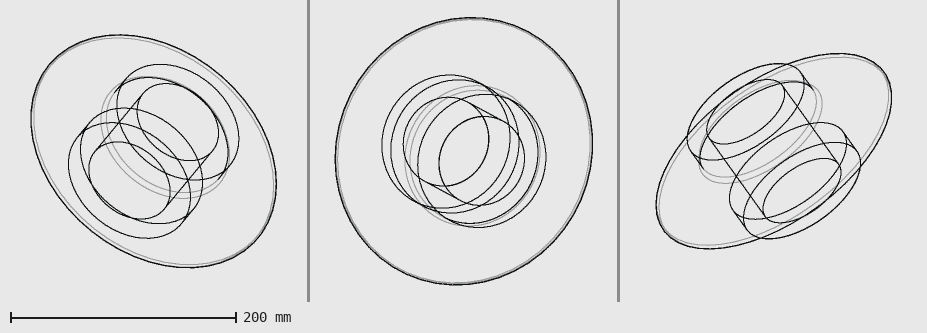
import cadquery as cq
import math

rim_diameter = 241.0
hub_diameter = 120.0
bore_diameter = 80.0
hub_length = 100.0
disc_root_thickness = 50.1
rim_round_radius = 2.5
root_fillet_radius = 5.0

rim_radius = rim_diameter / 2
hub_radius = hub_diameter / 2
bore_radius = bore_diameter / 2
half_length = hub_length / 2
root_half = disc_root_thickness / 2

round_center = rim_radius - rim_round_radius
center_run = round_center - hub_radius
flank_angle = math.atan2(root_half, center_run) - math.asin(
    rim_round_radius / math.hypot(center_run, root_half)
)
tangent_radius = round_center + rim_round_radius * math.sin(flank_angle)
tangent_half = rim_round_radius * math.cos(flank_angle)


def make_body():
    """Revolve the hub and double-cone disc around the bore."""
    profile = (
        cq.Workplane("XY")
        .moveTo(bore_radius, -half_length)
        .lineTo(hub_radius, -half_length)
        .lineTo(hub_radius, -root_half)
        .lineTo(tangent_radius, -tangent_half)
        .threePointArc((rim_radius, 0), (tangent_radius, tangent_half))
        .lineTo(hub_radius, root_half)
        .lineTo(hub_radius, half_length)
        .lineTo(bore_radius, half_length)
        .close()
    )
    return profile.revolve(360, (0, 0, 0), (0, 1, 0))


def fillet_rear_root(body):
    """Round the corner between the hub and the +Y cone."""
    margin = 0.2
    reach = hub_radius + margin
    root_edge = cq.selectors.BoxSelector(
        (-reach, root_half - margin, -reach),
        (reach, root_half + margin, reach),
        boundingbox=True,
    )
    return body.edges(root_edge).edges("%CIRCLE").fillet(root_fillet_radius)


result = fillet_rear_root(make_body())